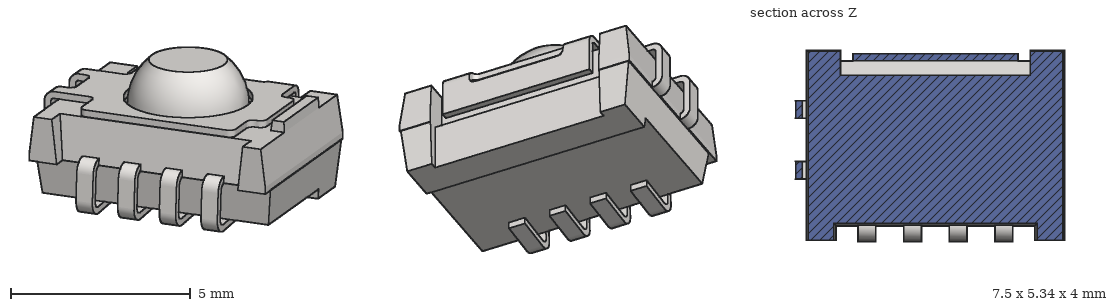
import cadquery as cq
import math

OVERALL_HEIGHT = 4.0
FOOT_HEIGHT = 0.3
SEAM_Z = 1.4
METAL = 0.2
BAND_TOP_Z = SEAM_Z + METAL
FRAME_TOP_Z = 2.7
COVER_TOP_Z = FRAME_TOP_Z + METAL

BASE_HALF_BOTTOM = 3.41
BASE_HALF_SEAM = 3.57
BASE_FRONT_BOTTOM = -2.2
BASE_FRONT_SEAM = -2.38
BASE_REAR_BOTTOM = 2.4
BASE_REAR_SEAM = 2.48
FOOT_FRONT_BOTTOM = 1.22
FOOT_FRONT_TOP = 1.2
FRAME_HALF_BAND = 3.6
FRAME_HALF_TOP = 3.46
FRAME_FRONT = -2.8
FRAME_REAR_BAND = 2.5
FRAME_REAR_TOP = 2.43

RECESS_HALF_SEAM = 2.76
RECESS_HALF_TOP = 2.91
RECESS_WALL_SEAM = -2.4
RECESS_WALL_TOP = -2.23

NOTCH_HALF = 2.64
FRAME_NOTCH_Y = 1.8
BASE_NOTCH_Y = 2.2

RIB_LEFT = 3.05
RIB_HALF_LENGTH = 1.19
RIB_LEFT_DRAFT = 0.04
RIB_SIDE_DRAFT = 0.02
RIB_TOP_Z = 3.0

DOME_RADIUS = 1.7
COVER_HOLE_DIAMETER = 3.6

BEND_OUTER = 0.3
BEND_INNER = BEND_OUTER - METAL
COVER_LEFT = -3.9
COVER_RIGHT = 2.8
COVER_FRONT = -2.2
COVER_REAR = 2.4
COVER_FRONT_HALF = 2.35
COVER_REAR_HALF = 2.3
WING_HALF = 1.09
ARM_WIDTH = 0.49
ARM_SLOT_LEFT = -3.21
CORNER_RADIUS = 0.2
FLANGE_BOTTOM_Z = BAND_TOP_Z
FLANGE_CUT_HALF = 1.47
FLANGE_CUT_FRONT = 2.06
FLANGE_CUT_BOTTOM_Z = 2.4
WINDOW_CORNER_RADIUS = 0.15

LEAD_COUNT = 4
LEAD_PITCH = 1.27
LEAD_WIDTH = 0.5
LEAD_BEND_OUTER = 0.4
LEAD_BEND_INNER = LEAD_BEND_OUTER - METAL
LEAD_TILT = math.radians(4.0)
LEAD_TOP_CENTRE_Y = -2.384
LEAD_ROOT_Y = -2.0
LEAD_TOE_Y = -1.35

MARGIN = 1.0


def slab(x0, x1, y0, y1, z0, z1):
    return cq.Workplane("XY").box(x1 - x0, y1 - y0, z1 - z0, centered=False).translate((x0, y0, z0))


def tapered_block(low, low_z, high, high_z):
    """Block between two rectangles, each given as (x0, x1, y0, y1)."""
    wires = []
    for (x0, x1, y0, y1), z in ((low, low_z), (high, high_z)):
        corners = [cq.Vector(x0, y0, z), cq.Vector(x1, y0, z), cq.Vector(x1, y1, z), cq.Vector(x0, y1, z)]
        wires.append(cq.Wire.makePolygon(corners, close=True))
    return cq.Workplane(obj=cq.Solid.makeLoft(wires, True))


def make_base():
    base = tapered_block(
        (-BASE_HALF_BOTTOM, BASE_HALF_BOTTOM, BASE_FRONT_BOTTOM, BASE_REAR_BOTTOM), 0,
        (-BASE_HALF_SEAM, BASE_HALF_SEAM, BASE_FRONT_SEAM, BASE_REAR_SEAM), SEAM_Z,
    )
    reach = BASE_HALF_SEAM + MARGIN
    front = BASE_FRONT_SEAM - MARGIN
    undercut = tapered_block(
        (-reach, reach, front, FOOT_FRONT_BOTTOM), 0,
        (-reach, reach, front, FOOT_FRONT_TOP), FOOT_HEIGHT,
    )
    notch = slab(-NOTCH_HALF, NOTCH_HALF, BASE_NOTCH_Y, BASE_REAR_SEAM + MARGIN, 0, SEAM_Z)
    return base.cut(undercut).cut(notch)


def make_frame():
    band_plan = (-FRAME_HALF_BAND, FRAME_HALF_BAND, FRAME_FRONT, FRAME_REAR_BAND)
    top_plan = (-FRAME_HALF_TOP, FRAME_HALF_TOP, FRAME_FRONT, FRAME_REAR_TOP)
    band = slab(*band_plan, SEAM_Z, BAND_TOP_Z)
    frame = band.union(tapered_block(band_plan, BAND_TOP_Z, top_plan, FRAME_TOP_Z))
    front = FRAME_FRONT - MARGIN
    recess = tapered_block(
        (-RECESS_HALF_SEAM, RECESS_HALF_SEAM, front, RECESS_WALL_SEAM), SEAM_Z,
        (-RECESS_HALF_TOP, RECESS_HALF_TOP, front, RECESS_WALL_TOP), FRAME_TOP_Z,
    )
    notch = slab(-NOTCH_HALF, NOTCH_HALF, FRAME_NOTCH_Y, FRAME_REAR_BAND + MARGIN, SEAM_Z, FRAME_TOP_Z)
    return frame.cut(recess).cut(notch)


def make_rib():
    top_half = RIB_HALF_LENGTH - RIB_SIDE_DRAFT
    return tapered_block(
        (RIB_LEFT, FRAME_HALF_TOP, -RIB_HALF_LENGTH, RIB_HALF_LENGTH), FRAME_TOP_Z,
        (RIB_LEFT + RIB_LEFT_DRAFT, FRAME_HALF_TOP - RIB_SIDE_DRAFT, -top_half, top_half), RIB_TOP_Z,
    )


def make_dome():
    ball = cq.Workplane("XY").sphere(DOME_RADIUS).translate((0, 0, FRAME_TOP_Z))
    reach = DOME_RADIUS + MARGIN
    return ball.intersect(slab(-reach, reach, -reach, reach, FRAME_TOP_Z, OVERALL_HEIGHT))


def make_cover_plate():
    left = COVER_LEFT + BEND_OUTER
    rear = COVER_REAR - BEND_OUTER
    plate = slab(-COVER_REAR_HALF, COVER_REAR_HALF, 0, rear, FRAME_TOP_Z, COVER_TOP_Z)
    front = slab(-COVER_FRONT_HALF, COVER_FRONT_HALF, COVER_FRONT, 0, FRAME_TOP_Z, COVER_TOP_Z)
    wings = slab(left, COVER_RIGHT, -WING_HALF, WING_HALF, FRAME_TOP_Z, COVER_TOP_Z)
    slot_half = WING_HALF - ARM_WIDTH
    slot = slab(left, ARM_SLOT_LEFT, -slot_half, slot_half, FRAME_TOP_Z, COVER_TOP_Z)
    plate = plate.union(front).union(wings).cut(slot)

    rounded = [(ARM_SLOT_LEFT, -slot_half), (ARM_SLOT_LEFT, slot_half)]
    for side in (-1, 1):
        rounded += [
            (side * COVER_FRONT_HALF, COVER_FRONT),
            (side * COVER_FRONT_HALF, -WING_HALF),
            (side * COVER_REAR_HALF, WING_HALF),
            (COVER_RIGHT, side * WING_HALF),
        ]
    middle_z = (FRAME_TOP_Z + COVER_TOP_Z) / 2
    for x, y in rounded:
        edge = cq.selectors.NearestToPointSelector((x, y, middle_z))
        plate = plate.edges("|Z").edges(edge).fillet(CORNER_RADIUS)
    return plate.cut(
        cq.Workplane("XY", origin=(0, 0, FRAME_TOP_Z)).circle(COVER_HOLE_DIAMETER / 2).extrude(METAL)
    )


def make_arm(y_centre):
    """Side arm bent down over the frame and hooked back into its band."""
    bend_x = COVER_LEFT + BEND_OUTER
    end_x = -FRAME_HALF_TOP
    hook = slab(COVER_LEFT, end_x, 0, ARM_WIDTH, SEAM_Z, COVER_TOP_Z)
    hook = hook.edges("|Y and <X").fillet(BEND_OUTER)
    opening = slab(COVER_LEFT + METAL, end_x, 0, ARM_WIDTH, BAND_TOP_Z, FRAME_TOP_Z)
    opening = opening.edges("|Y and <X").fillet(BEND_INNER)
    hook = hook.cut(opening)
    beyond = slab(bend_x, end_x, 0, ARM_WIDTH, BAND_TOP_Z, COVER_TOP_Z)
    return hook.cut(beyond).translate((0, y_centre - ARM_WIDTH / 2, 0))


def make_flange():
    """Rear flange bent down from the plate, lapping it by one bend radius."""
    half = COVER_REAR_HALF
    lap_y = COVER_REAR - 2 * BEND_OUTER
    flange = slab(-half, half, lap_y, COVER_REAR, FLANGE_BOTTOM_Z, COVER_TOP_Z)
    flange = flange.edges(">Y and >Z").fillet(BEND_OUTER)
    inside = slab(-half, half, lap_y, COVER_REAR - METAL, FLANGE_BOTTOM_Z, FRAME_TOP_Z)
    inside = inside.edges(">Y and >Z").fillet(BEND_INNER)
    return flange.cut(inside)


def make_flange_window():
    """Cutter across the rear bend, with rounded lower and front corners."""
    window = slab(
        -FLANGE_CUT_HALF, FLANGE_CUT_HALF, FLANGE_CUT_FRONT, COVER_REAR + MARGIN,
        FLANGE_CUT_BOTTOM_Z, COVER_TOP_Z,
    )
    rounded_below = window.edges("|Y and <Z").fillet(CORNER_RADIUS)
    rounded_in_front = window.edges("|Z and <Y").fillet(WINDOW_CORNER_RADIUS)
    return rounded_below.intersect(rounded_in_front)


def make_cover():
    cover = make_cover_plate().union(make_flange()).cut(make_flange_window())
    arm_y = WING_HALF - ARM_WIDTH / 2
    for side in (-1, 1):
        cover = cover.union(make_arm(side * arm_y))
    return cover


def make_lead(x_centre):
    """Strip that leaves the seam, bends down and folds back under the base."""
    top_y, top_z = LEAD_TOP_CENTRE_Y, BAND_TOP_Z - LEAD_BEND_OUTER
    low_z = LEAD_BEND_OUTER
    low_y = top_y - (top_z - low_z) * math.tan(LEAD_TILT)

    def on_bend(centre_y, centre_z, radius, angle):
        return (centre_y + radius * math.cos(angle), centre_z + radius * math.sin(angle))

    straight = math.pi - LEAD_TILT
    top_middle = (math.pi / 2 + straight) / 2
    toe_start = 3 * math.pi / 2 + LEAD_TILT
    low_middle = (straight + toe_start) / 2

    def toe_point(radius):
        y, z = on_bend(low_y, low_z, radius, toe_start)
        return (LEAD_TOE_Y, z + (LEAD_TOE_Y - y) * math.tan(LEAD_TILT))

    outer, inner = LEAD_BEND_OUTER, LEAD_BEND_INNER
    profile = (
        cq.Workplane("YZ")
        .moveTo(LEAD_ROOT_Y, top_z + outer)
        .lineTo(top_y, top_z + outer)
        .threePointArc(on_bend(top_y, top_z, outer, top_middle), on_bend(top_y, top_z, outer, straight))
        .lineTo(*on_bend(low_y, low_z, outer, straight))
        .threePointArc(on_bend(low_y, low_z, outer, low_middle), on_bend(low_y, low_z, outer, toe_start))
        .lineTo(*toe_point(outer))
        .lineTo(*toe_point(inner))
        .lineTo(*on_bend(low_y, low_z, inner, toe_start))
        .threePointArc(on_bend(low_y, low_z, inner, low_middle), on_bend(low_y, low_z, inner, straight))
        .lineTo(*on_bend(top_y, top_z, inner, straight))
        .threePointArc(on_bend(top_y, top_z, inner, top_middle), (top_y, top_z + inner))
        .lineTo(LEAD_ROOT_Y, top_z + inner)
        .close()
    )
    return profile.extrude(LEAD_WIDTH / 2, both=True).translate((x_centre, 0, 0))


part = make_base().union(make_frame()).union(make_rib()).union(make_dome()).union(make_cover())
for index in range(LEAD_COUNT):
    part = part.union(make_lead((index - (LEAD_COUNT - 1) / 2) * LEAD_PITCH))

result = part